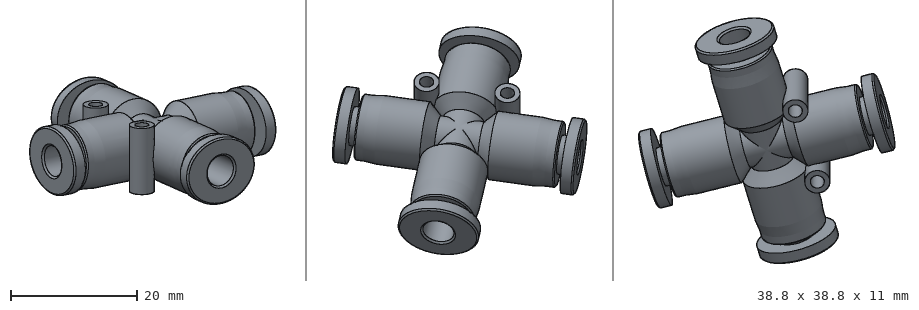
import cadquery as cq


overall_length = 38.8
sleeve_end = overall_length / 2
flange_thickness = 2.05
flange_back = sleeve_end - flange_thickness
arm_end = 16.18
taper_end = 14.65
taper_start = 12.73

arm_radius = 11.0 / 2
tip_radius = 10.6 / 2
core_radius = 3.55
tip_chamfer = 0.25
shoulder = arm_radius
socket_floor = shoulder

tube_offset = 6.5
tube_diameter = 4.0
tube_hole_diameter = 2.2
tube_height = 2 * arm_radius

flange_width = 13.0
flange_height = 2 * arm_radius
flange_chamfer = 0.27
neck_diameter = 6.3
bore_diameter = 5.0
bore_chamfer = 0.3

arm_angles = [0, 90, 180, 270]


def turn_about_z(body, angle):
    return body.rotate((0, 0, 0), (0, 0, 1), angle)


def make_arm():
    """One arm along +X, revolved from its half profile."""
    return (
        cq.Workplane("XY")
        .lineTo(0, core_radius)
        .lineTo(core_radius, core_radius)
        .lineTo(shoulder, arm_radius)
        .lineTo(taper_start, arm_radius)
        .lineTo(taper_end, tip_radius)
        .lineTo(arm_end - tip_chamfer, tip_radius)
        .lineTo(arm_end, tip_radius - tip_chamfer)
        .lineTo(arm_end, 0)
        .close()
        .revolve(360, (0, 0, 0), (1, 0, 0))
    )


def make_socket():
    """Recess in the +X arm that takes the neck of a sleeve."""
    return (
        cq.Workplane("YZ", origin=(socket_floor, 0, 0))
        .circle(neck_diameter / 2)
        .extrude(arm_end - socket_floor)
    )


def make_housing():
    tube_centres = [(-tube_offset, -tube_offset), (tube_offset, -tube_offset)]
    tube_base = cq.Workplane("XY", origin=(0, 0, -tube_height / 2)).pushPoints(tube_centres)
    tubes = tube_base.circle(tube_diameter / 2).extrude(tube_height)
    tube_holes = tube_base.circle(tube_hole_diameter / 2).extrude(tube_height)

    housing = make_arm()
    for angle in arm_angles[1:]:
        housing = housing.union(turn_about_z(make_arm(), angle))
    housing = housing.union(tubes).cut(tube_holes)
    for angle in arm_angles:
        housing = housing.cut(turn_about_z(make_socket(), angle))
    return housing


def make_sleeve():
    """Release sleeve along +X: oval flange, round neck and through bore."""
    flange = (
        cq.Workplane("YZ", origin=(flange_back, 0, 0))
        .ellipse(flange_width / 2, flange_height / 2)
        .extrude(flange_thickness)
        .faces(">X")
        .chamfer(flange_chamfer)
    )
    neck = (
        cq.Workplane("YZ", origin=(socket_floor, 0, 0))
        .circle(neck_diameter / 2)
        .extrude(flange_back - socket_floor)
    )
    bore = (
        cq.Workplane("YZ", origin=(socket_floor, 0, 0))
        .circle(bore_diameter / 2)
        .extrude(sleeve_end - socket_floor)
    )
    mouth = (
        cq.Workplane("XY")
        .moveTo(sleeve_end - bore_chamfer, 0)
        .lineTo(sleeve_end - bore_chamfer, bore_diameter / 2)
        .lineTo(sleeve_end, bore_diameter / 2 + bore_chamfer)
        .lineTo(sleeve_end, 0)
        .close()
        .revolve(360, (0, 0, 0), (1, 0, 0))
    )
    return flange.union(neck).cut(bore).cut(mouth)


housing = make_housing()
sleeves = [turn_about_z(make_sleeve(), angle) for angle in arm_angles]

result = cq.Compound.makeCompound(
    [housing.solids().val(), *[sleeve.solids().val() for sleeve in sleeves]]
)